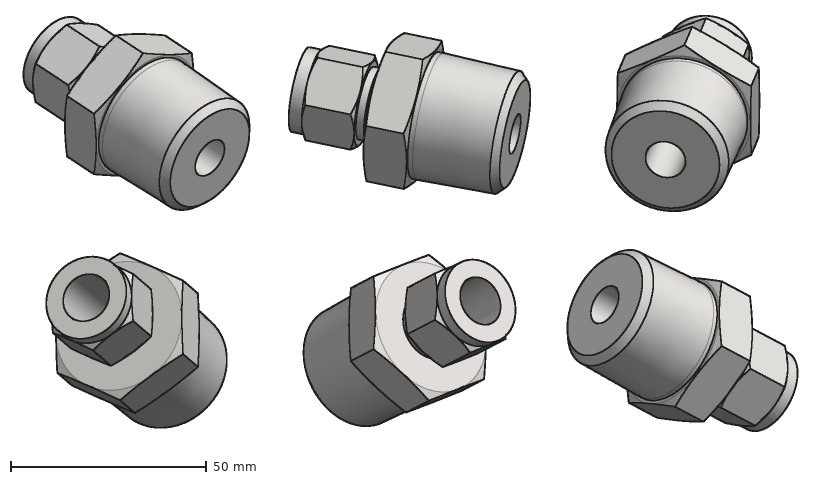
import cadquery as cq
import math

total_length = 57.15

nut_flats = 22.3
nut_start = 3.5
nut_end = 17.5
nut_chamfer_length = 1.0
body_flats = 34.9
body_start = 21.8
body_end = 33.3
body_chamfer_length = 0.8

shoulder_diameter = 19.15
shoulder_end = 19.6
neck_diameter = 17.5

pipe_root_diameter = 33.25
pipe_tip_diameter = 32.25
taper_start = 34.65
pipe_chamfer = 2.0

through_diameter = 10.45
socket_diameter = 12.8
socket_depth = 22.85


def cylinder(diameter, start, end):
    """Cylinder along X from start to end."""
    return cq.Workplane("YZ", origin=(start, 0, 0)).circle(diameter / 2).extrude(end - start)


def revolved(profile):
    """Solid of revolution about X from a closed list of (x, radius) points."""
    return cq.Workplane("XY").polyline(profile).close().revolve(360, (0, 0, 0), (1, 0, 0))


def chamfered_hexagon(flats, start, end, chamfer_length):
    """Hexagonal bar along X whose corners are cut by a cone at both ends."""
    corner_diameter = flats / math.cos(math.pi / 6)
    bar = (
        cq.Workplane("YZ", origin=(start, 0, 0))
        .transformed(rotate=(0, 0, 90))
        .polygon(6, corner_diameter)
        .extrude(end - start)
    )
    envelope = revolved([
        (start, 0),
        (start, flats / 2),
        (start + chamfer_length, corner_diameter / 2),
        (end - chamfer_length, corner_diameter / 2),
        (end, flats / 2),
        (end, 0),
    ])
    return bar.intersect(envelope)


def pipe_end():
    """Short cylinder, then a slight taper to a chamfered tip."""
    chamfer_start = total_length - pipe_chamfer
    return revolved([
        (body_end, 0),
        (body_end, pipe_root_diameter / 2),
        (taper_start, pipe_root_diameter / 2),
        (chamfer_start, pipe_tip_diameter / 2),
        (total_length, pipe_tip_diameter / 2 - pipe_chamfer),
        (total_length, 0),
    ])


collar = cylinder(nut_flats, 0, nut_start)
nut = chamfered_hexagon(nut_flats, nut_start, nut_end, nut_chamfer_length)
shoulder = cylinder(shoulder_diameter, nut_end, shoulder_end)
neck = cylinder(neck_diameter, shoulder_end, body_start)
body = chamfered_hexagon(body_flats, body_start, body_end, body_chamfer_length)
outer = collar.union(nut).union(shoulder).union(neck).union(body).union(pipe_end())

through_bore = cylinder(through_diameter, 0, total_length)
tube_socket = cylinder(socket_diameter, 0, socket_depth)
result = outer.cut(through_bore).cut(tube_socket)